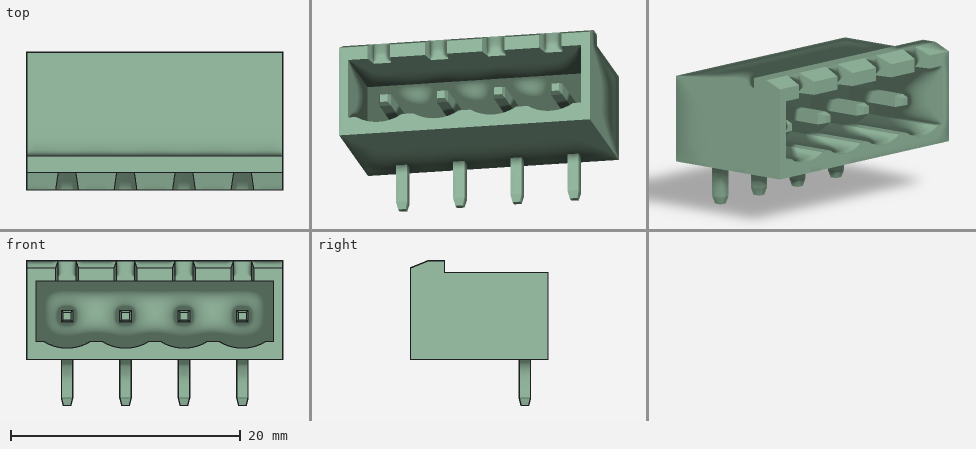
import cadquery as cq


length = 22.32
depth = 12.0
overall_height = 12.6
pin_drop = 4.0
housing_height = overall_height - pin_drop
lip_depth = 3.0
lip_rise = 1.0
lip_chamfer_depth = 1.55
lip_chamfer_drop = 0.62

end_wall = 0.8
cavity_width = length - 2 * end_wall
cavity_depth = 8.04
cavity_top = housing_height - 1.79
cavity_floor = 1.58
scallop_width = 4.06
scallop_sag = 0.58

notch_front_width = 1.99
notch_back_width = 1.55
notch_depth = lip_chamfer_depth

pin_count = 4
pin_pitch = 5.1
pin_width = 1.0
pin_tip_width = 0.67
pin_taper = 0.67
pin_height = 3.8
pin_front = 2.0
leg_from_back = 2.03
leg_y = depth - leg_from_back

pin_positions = [(i - (pin_count - 1) / 2) * pin_pitch for i in range(pin_count)]


def make_housing():
    """Side profile with the raised, chamfered lip, extruded along the row."""
    profile = [
        (0, 0),
        (depth, 0),
        (depth, housing_height - lip_rise),
        (lip_depth, housing_height - lip_rise),
        (lip_depth, housing_height),
        (lip_chamfer_depth, housing_height),
        (0, housing_height - lip_chamfer_drop),
    ]
    return cq.Workplane("YZ").polyline(profile).close().extrude(length / 2, both=True)


def make_cavity():
    """Rectangular pocket open at the front, with one arc-shaped trough under each pin."""
    half_width = cavity_width / 2
    outline = cq.Workplane("XZ").moveTo(-half_width, cavity_top).lineTo(-half_width, cavity_floor)
    for x in pin_positions:
        outline = outline.lineTo(x - scallop_width / 2, cavity_floor)
        outline = outline.threePointArc(
            (x, cavity_floor - scallop_sag),
            (x + scallop_width / 2, cavity_floor),
        )
    outline = outline.lineTo(half_width, cavity_floor).lineTo(half_width, cavity_top).close()
    return outline.extrude(-cavity_depth)


def make_notch(x):
    """Tapered opening from the top of the lip down into the cavity."""
    outline = [
        (x - notch_front_width / 2, 0),
        (x + notch_front_width / 2, 0),
        (x + notch_back_width / 2, notch_depth),
        (x - notch_back_width / 2, notch_depth),
    ]
    notch_height = housing_height - cavity_top
    return cq.Workplane("XY", origin=(0, 0, cavity_top)).polyline(outline).close().extrude(notch_height)


def make_tapered_bar(start, direction, bar_length):
    """Square bar along the given direction, ending in a tapered tip."""
    base = cq.Plane(origin=start, xDir=(1, 0, 0), normal=direction)
    shank_length = bar_length - pin_taper
    shank = cq.Workplane(base).rect(pin_width, pin_width).extrude(shank_length)
    tip = (
        cq.Workplane(base)
        .workplane(offset=shank_length)
        .rect(pin_width, pin_width)
        .workplane(offset=pin_taper)
        .rect(pin_tip_width, pin_tip_width)
        .loft(ruled=True)
    )
    return shank.union(tip)


def make_pin(x):
    """L-shaped pin: a contact toward the front and a leg below the housing."""
    leg_back = leg_y + pin_width / 2
    leg_top = pin_height + pin_width / 2
    contact = make_tapered_bar((x, leg_back, pin_height), (0, -1, 0), leg_back - pin_front)
    leg = make_tapered_bar((x, leg_y, leg_top), (0, 0, -1), leg_top + pin_drop)
    return contact.union(leg)


result = make_housing().cut(make_cavity())
for pin_x in pin_positions:
    result = result.cut(make_notch(pin_x))
for pin_x in pin_positions:
    result = result.union(make_pin(pin_x))